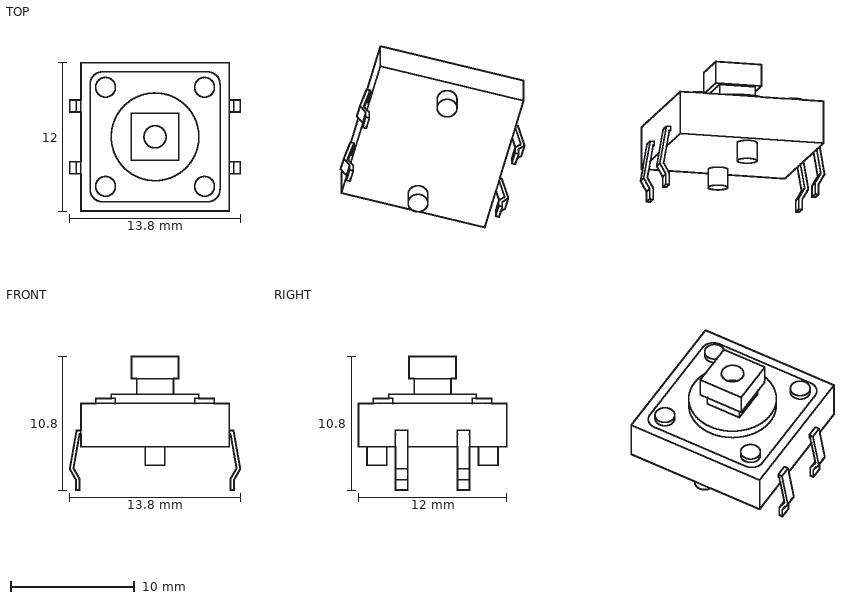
import cadquery as cq
import math


housing_side = 12.0
housing_height = 3.5
peg_diameter = 1.6
peg_length = 1.5
peg_offset = 4.5
stud_diameter = 1.6
stud_height = 0.4
stud_offset = 4.0

cover_side = 10.5
cover_thickness = 0.3
cover_corner_radius = 1.0
cover_underside = housing_height - cover_thickness

plunger_height = 3.8
flange_diameter = 7.1
flange_thickness = 0.76
stem_side = 3.0
cap_side = 3.82
cap_height = 1.8
cap_hole_diameter = 1.8
cap_hole_depth = cap_height
stem_height = plunger_height - flange_thickness - cap_height

terminal_span = 13.8
terminal_width = 1.0
terminal_thickness = 0.3
terminal_offset = 2.5
terminal_top = 1.32
terminal_knee = -1.8
terminal_ankle = -2.66
terminal_bottom = -3.5
tab_slope = -90.0
leg_slope = -10.0
shin_slope = 30.0
foot_slope = 0.0


def make_cover_blank():
    """Rounded square plate without holes, the shape of the recess in the housing."""
    return (
        cq.Workplane("XY", origin=(0, 0, cover_underside))
        .rect(cover_side, cover_side)
        .extrude(cover_thickness)
        .edges("|Z")
        .fillet(cover_corner_radius)
    )


def make_studs():
    """Four round studs rising from the recess floor through the cover plate."""
    return (
        cq.Workplane("XY", origin=(0, 0, cover_underside))
        .rect(2 * stud_offset, 2 * stud_offset, forConstruction=True)
        .vertices()
        .circle(stud_diameter / 2)
        .extrude(cover_thickness + stud_height)
    )


def make_housing():
    """Square block with a recess and studs for the cover, and two locating pegs below."""
    block = cq.Workplane("XY").box(
        housing_side, housing_side, housing_height, centered=(True, True, False)
    )
    pegs = (
        cq.Workplane("XY")
        .pushPoints([(0, -peg_offset), (0, peg_offset)])
        .circle(peg_diameter / 2)
        .extrude(-peg_length)
    )
    return block.cut(make_cover_blank()).union(make_studs()).union(pegs)


def make_cover():
    """Cover plate with a hole for each housing stud."""
    return make_cover_blank().cut(make_studs())


def make_plunger():
    """Round flange, square stem and wider square cap with a blind hole."""
    return (
        cq.Workplane("XY")
        .workplane(offset=housing_height)
        .circle(flange_diameter / 2)
        .extrude(flange_thickness)
        .faces(">Z")
        .workplane()
        .rect(stem_side, stem_side)
        .extrude(stem_height)
        .faces(">Z")
        .workplane()
        .rect(cap_side, cap_side)
        .extrude(cap_height)
        .faces(">Z")
        .workplane()
        .hole(cap_hole_diameter, cap_hole_depth)
    )


def inner_corner(outer_corner, slope_before, slope_after):
    """Mitred inner corner of a bend; each slope is the angle of that limb's inward normal."""
    direction = math.radians((slope_before + slope_after) / 2)
    half_bend = math.radians((slope_after - slope_before) / 2)
    reach = terminal_thickness / math.cos(half_bend)
    x, z = outer_corner
    return (x + reach * math.cos(direction), z + reach * math.sin(direction))


def make_terminal(y_center):
    """Terminal on the -X side: tab, leg leaning outwards, shin leaning back, upright foot."""
    wall_x = -housing_side / 2
    knee_x = -terminal_span / 2
    leg_run = (terminal_top - terminal_knee) * math.tan(math.radians(-leg_slope))
    shin_run = (terminal_knee - terminal_ankle) * math.tan(math.radians(shin_slope))
    ankle_x = knee_x + shin_run

    shoulder = (knee_x + leg_run, terminal_top)
    knee = (knee_x, terminal_knee)
    ankle = (ankle_x, terminal_ankle)
    outline = [
        (wall_x, terminal_top),
        shoulder,
        knee,
        ankle,
        (ankle_x, terminal_bottom),
        (ankle_x + terminal_thickness, terminal_bottom),
        inner_corner(ankle, shin_slope, foot_slope),
        inner_corner(knee, leg_slope, shin_slope),
        inner_corner(shoulder, tab_slope, leg_slope),
        (wall_x, terminal_top - terminal_thickness),
    ]
    return (
        cq.Workplane("XZ", origin=(0, y_center, 0))
        .polyline(outline)
        .close()
        .extrude(terminal_width / 2, both=True)
    )


housing = make_housing()
cover = make_cover()
plunger = make_plunger()

terminals = []
for y_center in (-terminal_offset, terminal_offset):
    left_terminal = make_terminal(y_center)
    terminals.append(left_terminal.val())
    terminals.append(left_terminal.mirror("YZ").val())

result = cq.Compound.makeCompound([housing.val(), cover.val(), plunger.val(), *terminals])